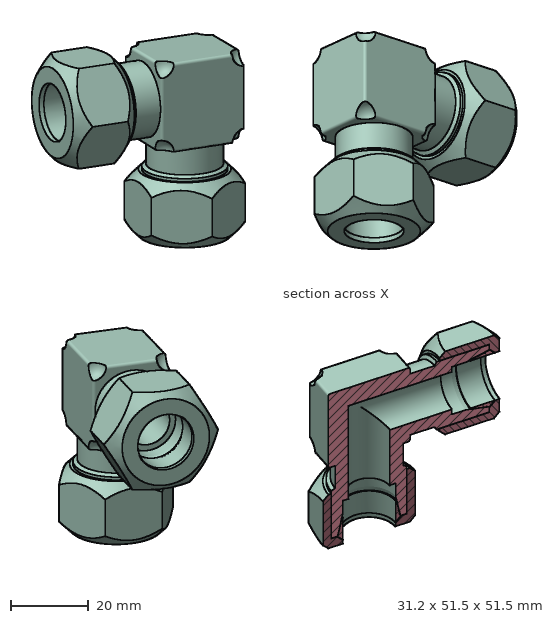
import cadquery as cq
import math


overall_length = 51.5

block_width = 21.05
block_side = 24.0
block_edge_radius = 0.75
corner_scoop_radius = 3.6

nut_across_flats = 27.0
nut_across_corners = nut_across_flats / math.cos(math.radians(30))
nut_length = 17.5
nut_face_radius = 11.9

port_reach = overall_length - nut_across_flats / 2
nut_back = port_reach - nut_length

stub_radius = 10.0
thread_radius = 11.05
thread_taper = 0.65
thread_showing = 1.5
thread_start = nut_back - thread_showing

tube_radius = 7.6
flow_diameter = 12.0
nut_lip_depth = 1.4
ring_tip_depth = 8.5
cone_end_depth = 9.95
socket_depth = 13.9
ring_base = port_reach - nut_lip_depth
ring_tip = port_reach - ring_tip_depth
cone_end = port_reach - cone_end_depth
socket_floor = port_reach - socket_depth

cone_slope = math.tan(math.radians(24 / 2))
ring_shoulder = (ring_base + cone_slope * cone_end) / (1 + cone_slope)
cone_mouth_radius = tube_radius + (ring_base - ring_shoulder)
ring_tip_radius = tube_radius + (ring_tip - cone_end) * cone_slope

port_angles = (90, 180)


def revolve_profile(points):
    """Solid of revolution about Z from (radius, height) points."""
    return cq.Workplane("XZ").polyline(points).close().revolve(360, (0, 0), (0, 1))


def onto_port(part, angle):
    """Turn a part built along +Z onto a port axis."""
    return part.rotate((0, 0, 0), (1, 0, 0), angle)


def make_block():
    """Block with rounded edges and a spherical scoop at every corner."""
    box = cq.Workplane("XY").box(block_width, block_side, block_side)
    block = box
    for edges_along_axis in ("|X", "|Y", "|Z"):
        block = block.intersect(box.edges(edges_along_axis).fillet(block_edge_radius))
    scoop = cq.Workplane("XY").sphere(corner_scoop_radius).rotate((0, 0, 0), (0, 0, 1), 45)
    for corner in box.vertices().vals():
        block = block.cut(scoop.translate(corner.toTuple()))
    return block


def make_port_stub():
    """Plain neck with the threaded, chamfered end that carries the nut."""
    return revolve_profile([
        (0, 0),
        (stub_radius, 0),
        (stub_radius, thread_start),
        (thread_radius, thread_start + thread_taper),
        (thread_radius, ring_shoulder),
        (0, ring_shoulder),
    ])


def make_tube_socket():
    """Cylindrical tube seat that flares to the 24 degree ring cone."""
    return revolve_profile([
        (0, socket_floor),
        (tube_radius, socket_floor),
        (tube_radius, cone_end),
        (cone_mouth_radius, ring_shoulder),
        (0, ring_shoulder),
    ])


def make_flow_passage():
    """Mitred right-angle bore joining the two socket floors."""
    path = cq.Workplane("YZ").moveTo(-socket_floor, 0).lineTo(0, 0).lineTo(0, -socket_floor)
    start = cq.Workplane("XZ", origin=(0, -socket_floor, 0)).circle(flow_diameter / 2)
    return start.sweep(path, transition="right")


def make_housing():
    """Block with two port necks, their tube sockets and the flow passage."""
    housing = make_block()
    for angle in port_angles:
        housing = housing.union(onto_port(make_port_stub(), angle))
    for angle in port_angles:
        housing = housing.cut(onto_port(make_tube_socket(), angle))
    return housing.cut(make_flow_passage())


def make_nut():
    """Chamfered hexagon with a threaded bore, a 45 degree ring seat and a tube hole."""
    hexagon = (
        cq.Workplane("XY", origin=(0, 0, nut_back))
        .polygon(6, nut_across_corners)
        .extrude(nut_length)
    )
    corner_radius = nut_across_corners / 2
    corner_chamfer = corner_radius - nut_face_radius
    chamfered_envelope = revolve_profile([
        (0, nut_back),
        (nut_face_radius, nut_back),
        (corner_radius, nut_back + corner_chamfer),
        (corner_radius, port_reach - corner_chamfer),
        (nut_face_radius, port_reach),
        (0, port_reach),
    ])
    cavity = revolve_profile([
        (0, nut_back),
        (thread_radius, nut_back),
        (thread_radius, ring_shoulder),
        (cone_mouth_radius, ring_shoulder),
        (tube_radius, ring_base),
        (tube_radius, port_reach),
        (0, port_reach),
    ])
    return hexagon.intersect(chamfered_envelope).cut(cavity)


def make_cutting_ring():
    """Ring tapered both ways: 45 degrees against the nut, 24 degree nose in the housing."""
    return revolve_profile([
        (tube_radius, ring_base),
        (cone_mouth_radius, ring_shoulder),
        (ring_tip_radius, ring_tip),
        (tube_radius, ring_tip),
    ])


housing = make_housing()
nuts = [onto_port(make_nut(), angle) for angle in port_angles]
cutting_rings = [onto_port(make_cutting_ring(), angle) for angle in port_angles]

result = cq.Compound.makeCompound(
    [housing.solids().val()]
    + [nut.solids().val() for nut in nuts]
    + [ring.solids().val() for ring in cutting_rings]
)